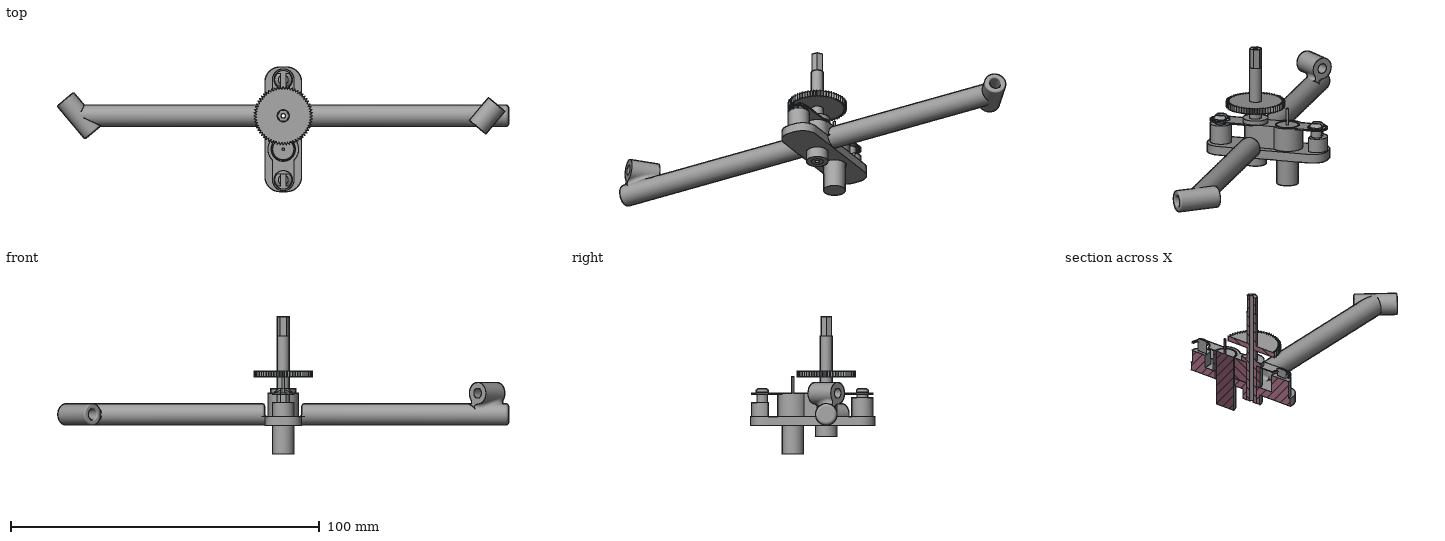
import cadquery as cq
import math

plate_length = 40.5
plate_width = 12.0
plate_thickness = 2.9
plate_corner_radius = 5.0
plate_centre_y = -4.4

arm_diameter = 7.0
arm_end_x = 73.0
arm_end_fillet = 1.0
arm_axis_z = 3.6
arm_inner_x = 6.0
arm_inner_fillet = 0.9
arm_foot_radius = 1.0

tube_diameter = 7.0
tube_angle = 50.0
low_tube_length = 14.0
low_tube_bore = 3.5
low_tube_fillet = 0.51
low_tube_reach = (
    (low_tube_length / 2 - low_tube_fillet) * math.cos(math.radians(tube_angle))
    + (tube_diameter / 2 - low_tube_fillet) * math.sin(math.radians(tube_angle))
    + low_tube_fillet
)
low_tube_centre_x = low_tube_reach - arm_end_x
high_tube_centre_x = 66.0
high_tube_length = 9.6
high_tube_bore = 3.2
high_tube_axis_z = 10.5
high_tube_fillet = 1.0

mount_top_z = 10.5
peg_base_diameter = 7.0
peg_neck_diameter = 4.0
peg_slot_width = 1.8
hook_diameter = 5.5
hook_tip_diameter = 3.2
hook_base_z = mount_top_z
hook_lip_height = 0.5
hook_top_z = 12.0
rear_peg_y = 11.7
rear_peg_shoulder_z = 9.0
front_peg_y = -20.7
front_peg_shoulder_z = 7.5

strip_thickness = 0.5
strip_width = 7.0
strip_peg_hole = 6.0
hub_diameter = strip_width
holder_diameter = 10.0
motor_hole_diameter = 7.7

motor_y = -10.8
motor_diameter = 7.0
motor_bottom_z = -9.2
motor_pin_diameter = 0.8
motor_pin_top_z = 15.9

boss_bottom_z = -3.5
shaft_diameter = 4.0
shaft_bore = 1.4
shaft_shoulder_z = 29.0
shaft_top_z = 35.3
collar_diameter = 8.2
collar_height = 1.5
gear_bottom_z = 15.8
gear_thickness = 1.9
gear_teeth = 60
gear_outer_diameter = 19.0
gear_root_diameter = 17.2


def cylinder(diameter, bottom_z, top_z, y=0.0):
    """Vertical cylinder on the plane X = 0."""
    return (
        cq.Workplane("XY", origin=(0, y, bottom_z))
        .circle(diameter / 2)
        .extrude(top_z - bottom_z)
    )


def tube_axis_plane(centre_x, axis_z, angle, length):
    """Plane on one end of a horizontal tube, with its normal along the tube."""
    along = cq.Vector(math.cos(math.radians(angle)), math.sin(math.radians(angle)), 0)
    sideways = cq.Vector(along.y, -along.x, 0)
    start = cq.Vector(centre_x, 0, axis_z) - along * (length / 2)
    return cq.Plane(origin=start.toTuple(), xDir=sideways.toTuple(), normal=along.toTuple())


def make_peg(y, shoulder_z):
    """Stepped peg with a conical snap hook, split by a slot down to its shoulder."""
    base = cylinder(peg_base_diameter, plate_thickness, shoulder_z, y)
    neck = cylinder(peg_neck_diameter, shoulder_z, hook_base_z, y)
    hook_lip_z = hook_base_z + hook_lip_height
    hook_cone = (
        cq.Workplane("XY", origin=(0, y, hook_lip_z))
        .circle(hook_diameter / 2)
        .workplane(offset=hook_top_z - hook_lip_z)
        .circle(hook_tip_diameter / 2)
        .loft(ruled=True)
    )
    hook = cylinder(hook_diameter, hook_base_z, hook_lip_z, y).union(hook_cone)
    hook_height = hook_top_z - hook_base_z
    hook_flats = cq.Workplane("XY", origin=(0, y, hook_base_z)).box(
        hook_diameter, peg_neck_diameter, hook_height, centered=(True, True, False)
    )
    slot = cq.Workplane("XY", origin=(0, y, shoulder_z)).box(
        peg_slot_width, peg_base_diameter, hook_top_z - shoulder_z, centered=(True, True, False)
    )
    return base.union(neck).union(hook.intersect(hook_flats)).cut(slot)


def make_arms():
    """Both arms as one straight rod, interrupted above the plate by a gap for the mount."""
    rod = (
        cq.Workplane("YZ", origin=(low_tube_centre_x, 0, arm_axis_z))
        .circle(arm_diameter / 2)
        .extrude(arm_end_x - low_tube_centre_x)
        .faces(">X")
        .edges()
        .fillet(arm_end_fillet)
    )
    gap = cq.Workplane("XY", origin=(0, 0, plate_thickness)).box(
        2 * arm_inner_x, 2 * arm_diameter, arm_diameter, centered=(True, True, False)
    )
    rim_box = cq.selectors.BoxSelector(
        (-arm_inner_x - arm_inner_fillet, -arm_diameter, plate_thickness + arm_inner_fillet),
        (arm_inner_x + arm_inner_fillet, arm_diameter, 2 * arm_diameter),
    )
    return rod.cut(gap).edges(rim_box).edges("%CIRCLE").fillet(arm_inner_fillet)


def make_arm_foot(side):
    """Concave fillet from the inner end of an arm down onto the plate."""
    end_x = side * arm_inner_x
    toe_x = side * (arm_inner_x - arm_foot_radius)
    top_z = plate_thickness + arm_foot_radius
    sag = arm_foot_radius * (1 - math.sqrt(0.5))
    return (
        cq.Workplane("XZ")
        .moveTo(end_x, plate_thickness)
        .lineTo(toe_x, plate_thickness)
        .threePointArc((end_x - side * sag, plate_thickness + sag), (end_x, top_z))
        .close()
        .extrude(arm_diameter / 2 - arm_inner_fillet, both=True)
    )


def make_high_tube():
    """Tail tube lying across the top of an arm, blended into it over the tube's length."""
    long_length = 4 * high_tube_length
    arm_plane = tube_axis_plane(high_tube_centre_x, arm_axis_z, 0, long_length)
    arm = cq.Workplane(arm_plane).circle(arm_diameter / 2).extrude(long_length)
    tube_plane = tube_axis_plane(high_tube_centre_x, high_tube_axis_z, tube_angle, long_length)
    tube = cq.Workplane(tube_plane).circle(tube_diameter / 2).extrude(long_length)
    joint = arm.union(tube)
    seam = cq.selectors.BoxSelector(
        (high_tube_centre_x - high_tube_length / 2, -tube_diameter / 2, arm_axis_z),
        (high_tube_centre_x + high_tube_length / 2, tube_diameter / 2, high_tube_axis_z),
        boundingbox=True,
    )
    blended = joint.edges(seam).fillet(high_tube_fillet)
    end_plane = tube_axis_plane(high_tube_centre_x, arm_axis_z, tube_angle, high_tube_length)
    slab = cq.Workplane(end_plane).rect(2 * tube_diameter, 4 * tube_diameter).extrude(high_tube_length)
    return blended.cut(arm).intersect(slab)


def make_low_tube():
    """Tail tube across the end of an arm with all its rims rounded, and its solid core."""
    plane = tube_axis_plane(low_tube_centre_x, arm_axis_z, -tube_angle, low_tube_length)
    core = cq.Workplane(plane).circle(tube_diameter / 2).extrude(low_tube_length)
    bore = cq.Workplane(plane).circle(low_tube_bore / 2).extrude(low_tube_length)
    tube = core.cut(bore).edges("%CIRCLE").fillet(low_tube_fillet)
    return tube, core


def make_frame():
    """Plate with both arms, tail tubes, snap pegs and the boss under the rotor shaft."""
    plate = (
        cq.Workplane("XY", origin=(0, plate_centre_y, 0))
        .rect(plate_width, plate_length)
        .extrude(plate_thickness)
        .edges("|Z")
        .fillet(plate_corner_radius)
    )
    frame = plate.union(make_arms())

    for side in (-1, 1):
        frame = frame.union(make_arm_foot(side))
    bore_plane = tube_axis_plane(high_tube_centre_x, high_tube_axis_z, tube_angle, high_tube_length)
    high_bore = cq.Workplane(bore_plane).circle(high_tube_bore / 2).extrude(high_tube_length)
    frame = frame.union(make_high_tube()).cut(high_bore)
    low_tube, low_core = make_low_tube()
    frame = frame.cut(low_core).union(low_tube)

    frame = frame.union(cylinder(hub_diameter, boss_bottom_z, plate_thickness))
    frame = frame.cut(cylinder(shaft_diameter, boss_bottom_z, plate_thickness))
    motor_hole = cylinder(motor_hole_diameter, 0, hook_top_z, motor_y)
    frame = frame.cut(motor_hole)

    front_peg = make_peg(front_peg_y, front_peg_shoulder_z)
    flat_y = front_peg_y + peg_neck_diameter / 2
    motor_side = cq.Workplane("XY", origin=(0, flat_y, plate_thickness)).box(
        peg_base_diameter, peg_base_diameter, hook_top_z, centered=(True, False, False)
    )
    frame = frame.union(front_peg.cut(motor_side))
    return frame.union(make_peg(rear_peg_y, rear_peg_shoulder_z))


def make_mount():
    """Hub, block and motor holder under a thin strip that reaches over both pegs."""
    hub = cylinder(hub_diameter, plate_thickness, mount_top_z)
    holder = cylinder(holder_diameter, plate_thickness, mount_top_z, motor_y)
    block = cq.Workplane("XY", origin=(0, motor_y, plate_thickness)).box(
        strip_width, -motor_y, mount_top_z - plate_thickness, centered=(True, False, False)
    )
    peg_spacing = rear_peg_y - front_peg_y
    strip = (
        cq.Workplane("XY", origin=(0, (rear_peg_y + front_peg_y) / 2, mount_top_z - strip_thickness))
        .slot2D(peg_spacing + strip_width, strip_width, 90)
        .extrude(strip_thickness)
    )
    for peg_y in (front_peg_y, rear_peg_y):
        strip = strip.cut(cylinder(strip_peg_hole, plate_thickness, mount_top_z, peg_y))
    mount = hub.union(block).union(holder).union(strip)
    mount = mount.cut(cylinder(shaft_diameter, plate_thickness, mount_top_z))
    return mount.cut(cylinder(motor_hole_diameter, plate_thickness, mount_top_z, motor_y))


def make_motor():
    """Motor can standing in the holder, with its output pin."""
    can = cylinder(motor_diameter, motor_bottom_z, mount_top_z, motor_y)
    pin = cylinder(motor_pin_diameter, mount_top_z, motor_pin_top_z, motor_y)
    return can.union(pin)


def make_gear():
    """Spur gear disc with pointed teeth."""
    points = []
    for tooth in range(gear_teeth):
        for fraction, diameter in ((0, gear_outer_diameter), (1 / 2, gear_root_diameter)):
            angle = 2 * math.pi * (tooth + fraction) / gear_teeth
            points.append((diameter / 2 * math.cos(angle), diameter / 2 * math.sin(angle)))
    return (
        cq.Workplane("XY", origin=(0, 0, gear_bottom_z))
        .polyline(points)
        .close()
        .extrude(gear_thickness)
    )


def make_rotor_shaft():
    """Hollow shaft with a hexagonal tip, a thrust collar and the gear."""
    shaft = cylinder(shaft_diameter, boss_bottom_z, shaft_shoulder_z)
    hex_tip = (
        cq.Workplane("XY", origin=(0, 0, shaft_shoulder_z))
        .polygon(6, shaft_diameter)
        .extrude(shaft_top_z - shaft_shoulder_z)
    )
    collar = cylinder(collar_diameter, mount_top_z, mount_top_z + collar_height)
    rotor_shaft = shaft.union(hex_tip).union(collar).union(make_gear())
    return rotor_shaft.cut(cylinder(shaft_bore, boss_bottom_z, shaft_top_z))


frame = make_frame()
mount = make_mount()
motor = make_motor()
rotor_shaft = make_rotor_shaft()

bodies = [frame, mount, motor, rotor_shaft]
result = cq.Compound.makeCompound([body.solids().val() for body in bodies])